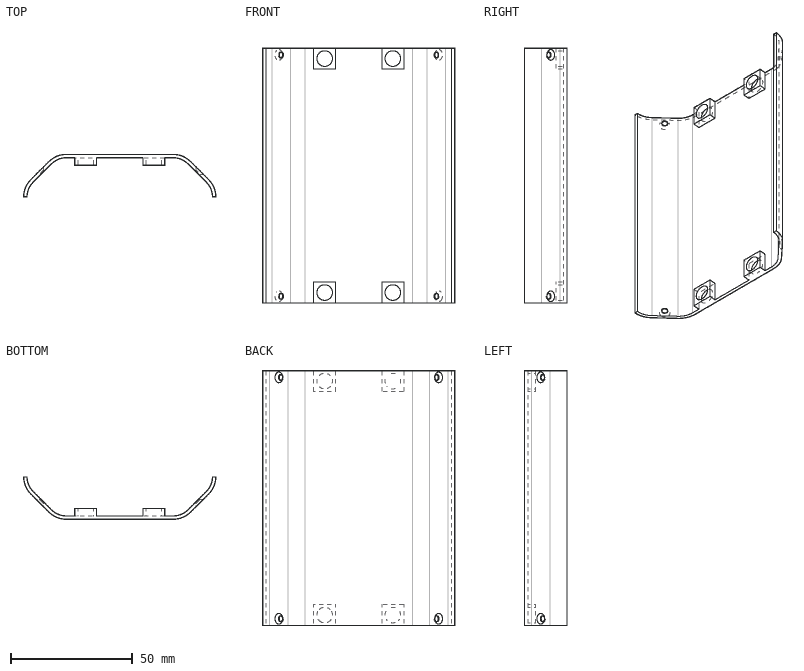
import cadquery as cq
import math

length = 105.0
width = 79.2
thickness = 1.5
bend_radius = 10.0
slope_run = 7.6
bend_angle = math.radians(45)

boss_width = 9.0
boss_height = 8.7
boss_spacing = 28.0
boss_projection = 4.5
socket_diameter = 6.4
socket_depth = boss_projection - thickness

screw_diameter = 2.4
screw_head_diameter = 4.4
screw_head_depth = (screw_head_diameter - screw_diameter) / 2
screw_end_distance = 2.8

bend_long = bend_radius * math.sin(bend_angle)
bend_short = bend_radius * (1 - math.cos(bend_angle))
depth = bend_long + slope_run + bend_short
flat_half = width / 2 - depth
back_y = depth / 2
tip_y = -depth / 2
slope_x = width / 2 - bend_short - slope_run / 2
slope_y = back_y - bend_short - slope_run / 2


def solid_under(offset):
    """Solid bounded by the outer bent surface moved inward by offset."""
    radius = bend_radius - offset
    half_width = width / 2 - offset
    top_y = back_y - offset
    tip_center_x = width / 2 - bend_radius
    back_center_y = back_y - bend_radius
    long = radius * math.sin(bend_angle)
    short = radius * math.cos(bend_angle)
    mid_long = radius * math.cos(bend_angle / 2)
    mid_short = radius * math.sin(bend_angle / 2)
    half = (
        cq.Workplane("XY")
        .moveTo(0, tip_y)
        .lineTo(half_width, tip_y)
        .threePointArc(
            (tip_center_x + mid_long, tip_y + mid_short),
            (tip_center_x + short, tip_y + long),
        )
        .lineTo(flat_half + long, back_center_y + short)
        .threePointArc((flat_half + mid_short, back_center_y + mid_long), (flat_half, top_y))
        .lineTo(0, top_y)
        .close()
        .extrude(length / 2, both=True)
    )
    return half.union(half.mirror("YZ"))


def cylinder_along(start, direction, diameter, depth_along):
    return cq.Workplane(
        cq.Solid.makeCylinder(diameter / 2, depth_along, cq.Vector(*start), cq.Vector(*direction))
    )


def boss(x, end):
    """Square boss flush with one end; end is +1 for the top and -1 for the bottom."""
    z = end * (length - boss_height) / 2
    face_y = back_y - boss_projection
    block_depth = boss_projection - thickness / 2
    block = cq.Workplane("XY").box(boss_width, block_depth, boss_height)
    block = block.translate((x, face_y + block_depth / 2, z))
    socket = cylinder_along((x, face_y, z), (0, 1, 0), socket_diameter, socket_depth)
    return block.cut(socket)


def screw_hole(side, end):
    """Countersunk hole square to the slope; side and end are +1 or -1."""
    start = (side * slope_x, slope_y, end * (length / 2 - screw_end_distance))
    inward = (-side, -1, 0)
    shank = cylinder_along(start, inward, screw_diameter, 2 * thickness)
    head = cq.Solid.makeCone(
        screw_head_diameter / 2,
        screw_diameter / 2,
        screw_head_depth,
        cq.Vector(*start),
        cq.Vector(*inward),
    )
    return shank.union(cq.Workplane(head))


result = solid_under(0).cut(solid_under(thickness))
for side in (-1, 1):
    for end in (-1, 1):
        result = result.union(boss(side * boss_spacing / 2, end))
        result = result.cut(screw_hole(side, end))